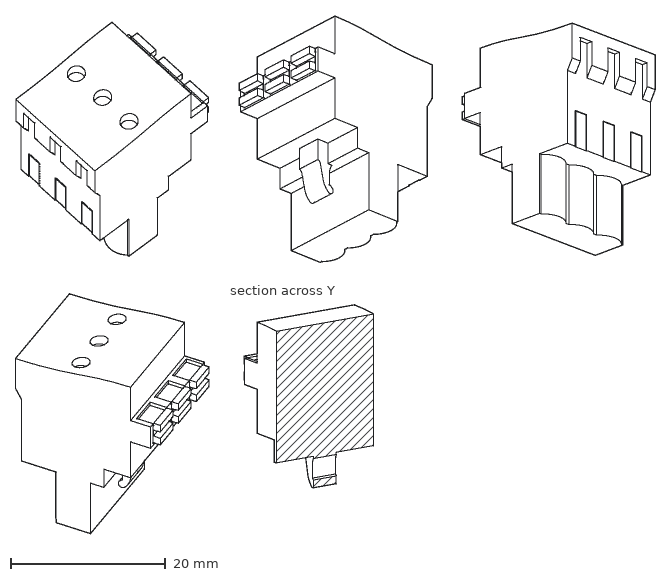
import cadquery as cq

pole_count = 3
pole_pitch = 5.08
width = pole_count * pole_pitch
half_width = width / 2
pole_xs = [(i - (pole_count - 1) / 2) * pole_pitch for i in range(pole_count)]

wall_y = 0.87
plug_front_y = 5.92
plug_back_y = 10.94
step_y = 12.87
back_y = 16.77
shelf_back_y = 19.67
crest_y = 9.89

wall_bottom_z = 8.33
step_z = 11.33
shelf_bottom_z = 17.23
shelf_top_z = 20.74
lip_chamfer_z = 18.5
lip_bottom_z = 20.0
front_top_z = 24.88
top_z = 26.24
crest_z = front_top_z + (top_z - front_top_z) * crest_y / back_y

rib_width = 4.54
rib_projection = 1.0

lip_groove_width = 2.1
lip_groove_top_z = 23.32
wall_groove_width = 2.0
wall_groove_top_z = 13.34
wall_groove_depth = 0.12

hole_diameter = 2.32
hole_y = 8.26
hole_floor_z = 24.05

lever_offset_x = -0.14
lever_width = 3.62
slot_clearance = 0.1
slot_front_y = 17.26
lever_tip_y = 20.64
lever_bottom_z = 17.52
lever_recess = 0.45
notch_middle_z = (shelf_top_z + lever_bottom_z) / 2
notch_root_half = 0.44
notch_tip_half = 0.54

latch_width = lever_width
latch_back_y = 14.62
latch_root_front_y = 12.16
latch_neck_y = 12.58
latch_neck_top_z = 7.3
latch_neck_bottom_z = 5.4
shoulder_middle = (14.34, 8.2)
shoulder_end = (14.19, 7.95)
heel_start = (13.65, 5.5)
heel_middle = (13.35, 4.87)
tip_start = (12.86, 4.25)
tip_middle = (12.38, 4.13)
tip_end = (12.24, 5.1)
root_curve_middle = (12.49, 7.75)


def side_sketch(x_start):
    """Sketch plane with local x along +Y and local y along +Z, extruding toward +X."""
    return cq.Workplane("YZ", origin=(x_start, 0, 0))


def box(x_center, x_size, y_min, y_max, z_min, z_max):
    size = (x_size, y_max - y_min, z_max - z_min)
    corner = (x_center - x_size / 2, y_min, z_min)
    return cq.Workplane("XY").box(*size, centered=False).translate(corner)


def make_shell():
    rear_run = back_y - crest_y
    rear_drop = top_z - crest_z
    rear_radius = (rear_run**2 + rear_drop**2) / (2 * rear_drop)
    front_radius = rear_radius * crest_y / rear_run
    return (
        side_sketch(-half_width)
        .moveTo(plug_front_y, 0)
        .lineTo(plug_back_y, 0)
        .lineTo(plug_back_y, wall_bottom_z)
        .lineTo(step_y, wall_bottom_z)
        .lineTo(step_y, step_z)
        .lineTo(back_y, step_z)
        .lineTo(back_y, shelf_bottom_z)
        .lineTo(shelf_back_y, shelf_bottom_z)
        .lineTo(shelf_back_y, shelf_top_z)
        .lineTo(back_y, shelf_top_z)
        .lineTo(back_y, top_z)
        .radiusArc((crest_y, crest_z), -rear_radius)
        .radiusArc((0, front_top_z), front_radius)
        .lineTo(0, lip_bottom_z)
        .lineTo(wall_y, lip_chamfer_z)
        .lineTo(wall_y, wall_bottom_z)
        .lineTo(plug_front_y, wall_bottom_z)
        .close()
        .extrude(width)
    )


def make_rib(x):
    return (
        cq.Workplane("XY")
        .moveTo(x - rib_width / 2, plug_front_y)
        .threePointArc((x, plug_front_y - rib_projection), (x + rib_width / 2, plug_front_y))
        .close()
        .extrude(wall_bottom_z)
    )


def make_latch():
    return (
        side_sketch(-latch_width / 2)
        .moveTo(step_y, step_z)
        .lineTo(latch_back_y, step_z)
        .lineTo(latch_back_y, wall_bottom_z)
        .threePointArc(shoulder_middle, shoulder_end)
        .lineTo(*heel_start)
        .threePointArc(heel_middle, tip_start)
        .threePointArc(tip_middle, tip_end)
        .lineTo(latch_neck_y, latch_neck_bottom_z)
        .lineTo(latch_neck_y, latch_neck_top_z)
        .threePointArc(root_curve_middle, (latch_root_front_y, wall_bottom_z))
        .lineTo(step_y, wall_bottom_z)
        .close()
        .extrude(latch_width)
    )


def make_housing():
    housing = make_shell()
    for x in pole_xs:
        housing = housing.union(make_rib(x))
    housing = housing.union(make_latch())
    slot_width = lever_width + 2 * slot_clearance
    for x in pole_xs:
        lip_groove = box(x, lip_groove_width, 0, wall_y, lip_chamfer_z, lip_groove_top_z)
        wall_groove = box(
            x, wall_groove_width, wall_y, wall_y + wall_groove_depth, wall_bottom_z, wall_groove_top_z
        )
        hole = (
            cq.Workplane("XY", origin=(x, hole_y, hole_floor_z))
            .circle(hole_diameter / 2)
            .extrude(top_z - hole_floor_z)
        )
        slot = box(x + lever_offset_x, slot_width, slot_front_y, shelf_back_y, lever_bottom_z, shelf_top_z)
        housing = housing.cut(lip_groove).cut(wall_groove).cut(hole).cut(slot)
    return housing


def make_lever(x):
    """Lever lying in its slot, with a taller notched head behind the shelf; x is its middle."""
    return (
        side_sketch(x - lever_width / 2)
        .moveTo(slot_front_y, lever_bottom_z)
        .lineTo(lever_tip_y, lever_bottom_z)
        .lineTo(lever_tip_y, notch_middle_z - notch_tip_half)
        .lineTo(shelf_back_y, notch_middle_z - notch_root_half)
        .lineTo(shelf_back_y, notch_middle_z + notch_root_half)
        .lineTo(lever_tip_y, notch_middle_z + notch_tip_half)
        .lineTo(lever_tip_y, shelf_top_z)
        .lineTo(shelf_back_y, shelf_top_z)
        .lineTo(shelf_back_y, shelf_top_z - lever_recess)
        .lineTo(slot_front_y, shelf_top_z - lever_recess)
        .close()
        .extrude(lever_width)
    )


housing = make_housing()
levers = [make_lever(x + lever_offset_x) for x in pole_xs]

result = cq.Compound.makeCompound([housing.val(), *[lever.val() for lever in levers]])